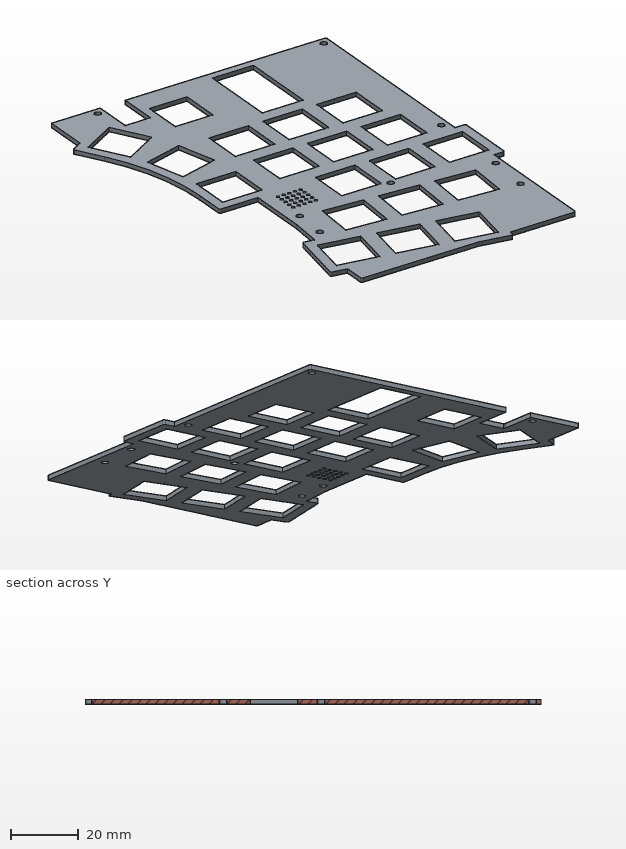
import cadquery as cq
import math

thickness = 1.5
board_width = 132.1
board_height = 97.2
corner_radius = 0.5

key_pitch = 19.0
key_opening = 14.0
key_margin = 3.4
key_tile = key_opening + 2 * key_margin
rows = 3

pinky_column = (115.5, 27.9, -10)
ring_column = (97.7, 42.0, -4)
middle_column = (78.5, 52.5, 0)
index_column = (59.4, 43.4, 0)
inner_column = (40.5, 40.3, 0)
finger_columns = [pinky_column, ring_column, middle_column, index_column, inner_column]

thumb_x = 62.5
thumb_y = 21.2
thumb_fan_radius = 82.5
thumb_step_angle = 15
thumb_count = 3
thumb_pivot_y = thumb_y - thumb_fan_radius
thumb_edge_radius = thumb_fan_radius - key_tile / 2

thumb_side_x = thumb_x + key_tile / 2
palm_edge_y = 24.4
palm_slope_start_x = 93.1
palm_slope_end = (104.3, 23.5)
right_foot_y = 21.3
right_foot_x = 120.6

notch_depth = 13.3
notch_bottom = 17.3
notch_top = 26.1

controller_size = (26.4, 14.5)
controller_center = (15.8, 62.5)
encoder_size = (13.7, 13.3)
encoder_center = (15.1, 35.8)

screw_diameter = 2.1
screw_inset = 2.5
screw_top_y = board_height - screw_inset
screw_centers = [
    (screw_inset, screw_top_y),
    (64.7, screw_top_y),
    (93.5, screw_top_y),
    (108.4, 93.4),
    (86.7, 62.0),
    (89.3, 28.1),
    (100.9, 27.5),
    (screw_inset, notch_bottom - screw_inset),
]

vent_diameter = 1.0
vent_pitch = 2.0
vent_count = 5
vent_center = (79.6, 33.6)


def column_keys(column):
    """Key placements (x, y, angle) going up one tilted finger column."""
    x, y, angle = column
    tilt = math.radians(angle)
    step_x = -key_pitch * math.sin(tilt)
    step_y = key_pitch * math.cos(tilt)
    return [(x + row * step_x, y + row * step_y, angle) for row in range(rows)]


def fan_point(radius, angle):
    """Point at a radius from the thumb pivot, turned left from vertical by the angle."""
    turn = math.radians(angle)
    return (thumb_x - radius * math.sin(turn), thumb_pivot_y + radius * math.cos(turn))


def thumb_key(index):
    angle = index * thumb_step_angle
    x, y = fan_point(thumb_fan_radius, angle)
    return (x, y, angle)


def block(center, size, angle=0):
    """Full-thickness rectangular block, turned about its own centre."""
    x, y = center
    return (
        cq.Workplane("XY")
        .rect(*size)
        .extrude(thickness)
        .rotate((0, 0, 0), (0, 0, 1), angle)
        .translate((x, y, 0))
    )


def key_blocks(keys, side):
    return [block((x, y), (side, side), angle) for x, y, angle in keys]


def rounded_tile(key):
    """Rounded square surround that carries a key past the edge of the board."""
    tile = key_blocks([key], key_tile)[0]
    return tile.edges("|Z").fillet(corner_radius)


finger_keys = [key for column in finger_columns for key in column_keys(column)]
thumb_keys = [thumb_key(index) for index in range(thumb_count)]
outer_thumb_key = thumb_keys[-1]
outer_thumb_angle = outer_thumb_key[2]

board = (
    cq.Workplane("XY")
    .moveTo(0, 0)
    .lineTo(outer_thumb_key[0], 0)
    .lineTo(*fan_point(thumb_edge_radius, outer_thumb_angle))
    .threePointArc(
        fan_point(thumb_edge_radius, outer_thumb_angle / 2),
        fan_point(thumb_edge_radius, 0),
    )
    .lineTo(thumb_side_x, thumb_pivot_y + thumb_edge_radius)
    .lineTo(thumb_side_x, palm_edge_y)
    .lineTo(palm_slope_start_x, palm_edge_y)
    .lineTo(*palm_slope_end)
    .lineTo(right_foot_x, right_foot_y)
    .lineTo(board_width, right_foot_y)
    .lineTo(board_width, board_height)
    .lineTo(0, board_height)
    .lineTo(0, notch_top)
    .lineTo(notch_depth, notch_top)
    .lineTo(notch_depth, notch_bottom)
    .lineTo(0, notch_bottom)
    .close()
    .extrude(thickness)
)
rounded_corners = [
    (0, board_height),
    (board_width, board_height),
    (board_width, right_foot_y),
    (thumb_side_x, thumb_pivot_y + thumb_edge_radius),
]
for corner in rounded_corners:
    nearest_edge = cq.selectors.NearestToPointSelector((*corner, thickness / 2))
    board = board.edges(nearest_edge).fillet(corner_radius)

overhanging_keys = [
    column_keys(pinky_column)[0],
    column_keys(pinky_column)[-1],
    column_keys(middle_column)[-1],
    outer_thumb_key,
]
for key in overhanging_keys:
    board = board.union(rounded_tile(key))

for opening in key_blocks(finger_keys + thumb_keys, key_opening):
    board = board.cut(opening)
board = board.cut(block(controller_center, controller_size))
board = board.cut(block(encoder_center, encoder_size))

screws = cq.Workplane("XY").pushPoints(screw_centers).circle(screw_diameter / 2).extrude(thickness)
vents = (
    cq.Workplane("XY")
    .center(*vent_center)
    .rarray(vent_pitch, vent_pitch, vent_count, vent_count)
    .circle(vent_diameter / 2)
    .extrude(thickness)
)
result = board.cut(screws).cut(vents)